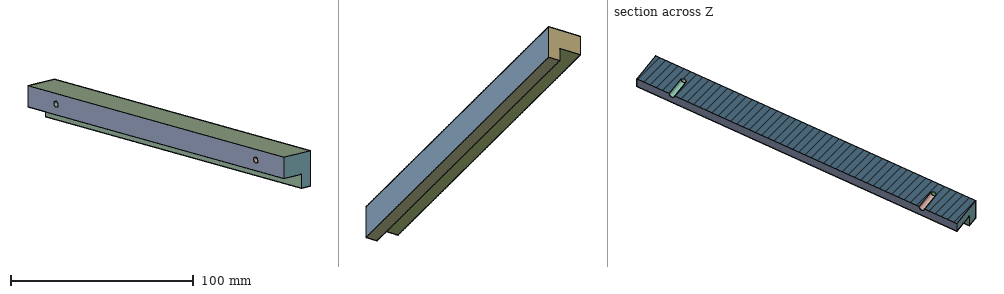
import cadquery as cq
import math

length = 205.0
side = 20.0
head_height = 12.0
leg_thickness = 7.0

hole_diameter = 3.3
hole_spacing = 160.0
hole_depth = 12.5
tip_angle = 118.0


def make_bar():
    """L-section extruded along X, centred on X, front face at Y = 0."""
    step_y = side - leg_thickness
    step_z = side - head_height
    return (
        cq.Workplane("YZ", origin=(-length / 2, 0, 0))
        .moveTo(0, step_z)
        .lineTo(step_y, step_z)
        .lineTo(step_y, 0)
        .lineTo(side, 0)
        .lineTo(side, side)
        .lineTo(0, side)
        .close()
        .extrude(length)
    )


def make_drill(x):
    """Solid of one hole at mid-height of the head: a cylinder along +Y with a conical point."""
    radius = hole_diameter / 2
    tip_length = radius / math.tan(math.radians(tip_angle / 2))
    hole_z = side - head_height / 2
    return (
        cq.Workplane("YZ", origin=(x, 0, hole_z))
        .lineTo(0, radius)
        .lineTo(hole_depth, radius)
        .lineTo(hole_depth + tip_length, 0)
        .close()
        .revolve(360, (0, 0), (1, 0))
    )


result = make_bar()
for hole_x in (-hole_spacing / 2, hole_spacing / 2):
    result = result.cut(make_drill(hole_x))